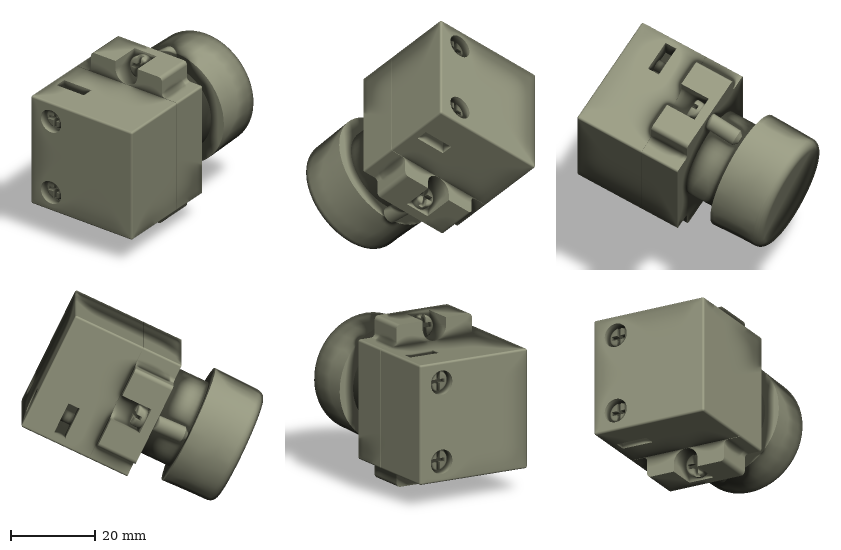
import cadquery as cq
import math

total_length = 50.5
body_width = 30.0
body_height = 29.5
box_length = 18.0
flange_length = 10.0
neck_length = 9.0
edge_radius = 0.5

flange_height = 40.0
ear_width = 21.0
ear_radius = 1.0

joint_width = 0.15
joint_depth = 0.1

neck_diameter = 22.0
cap_base_diameter = 29.5
cap_rim_diameter = 28.8
cap_rim_radius = 2.0

tilt = math.radians(10)
mount_offset = 16.2
mount_seat_depth = 3.0
mount_pocket_diameter = 6.5
mount_head_diameter = 5.5
mount_head_height = 2.4
mount_head_radius = 0.6
mount_slot_width = 1.15
mount_short_slot = 4.25
mount_slot_depth = 1.35
mount_short_slot_centre = (0, 0.2)
mount_shank_diameter = 4.0
mount_tip_chamfer = 1.0
mount_reach = 8.5

terminal_x = -9.0
terminal_offset = 9.75
terminal_hole_diameter = 6.0
terminal_hole_depth = 3.05
terminal_head_diameter = 5.2
terminal_head_height = 1.5
terminal_head_radius = 0.55
terminal_slot_width = 1.0
terminal_short_slot = 3.7
terminal_short_slot_centre = (-0.1, 0)
terminal_shank_diameter = 3.0

wire_entry_width = 8.05
wire_entry_length = 3.0
wire_entry_y = 9.2

joint_y = box_length
flange_back_y = box_length + flange_length
cap_base_y = flange_back_y + neck_length
cap_length = total_length - cap_base_y
wire_entry_depth = body_height / 2 - terminal_offset


def xz_plane(y):
    """Plane normal to the button axis, facing +Y, with local X along +Z and local Y along +X."""
    return cq.Plane(origin=(0, y, 0), xDir=(0, 0, 1), normal=(0, 1, 0))


def mirrored(shape):
    """The shape joined with its mirror image below Z = 0."""
    return shape.union(shape.mirror("XY"))


def make_box():
    """Contact box, rounded around its front face and along its length."""
    block = cq.Workplane(xz_plane(0)).rect(body_height, body_width).extrude(box_length)
    return block.edges("|Y").fillet(edge_radius).faces("<Y").edges().fillet(edge_radius)


def make_flange():
    """Mounting flange with an ear above and below the body."""
    plate = cq.Workplane(xz_plane(joint_y)).rect(body_height, body_width).extrude(flange_length)
    plate = plate.edges("|Y").fillet(edge_radius)
    ears = cq.Workplane(xz_plane(joint_y)).rect(flange_height, ear_width).extrude(flange_length)
    flange = plate.union(ears.edges("|Y").fillet(ear_radius))
    margin = 0.05
    half_width = ear_width / 2
    half_height = body_height / 2
    corners = cq.selectors.BoxSelector(
        (-half_width - margin, joint_y, -half_height - margin),
        (half_width + margin, flange_back_y, half_height + margin),
    )
    return flange.edges("|Y").edges(corners).fillet(ear_radius)


def make_joint():
    """Fine groove around the body where the box meets the flange."""
    plane = xz_plane(joint_y - joint_width)
    ring = cq.Workplane(plane).rect(body_height, body_width).extrude(joint_width)
    core = cq.Workplane(plane).rect(body_height - 2 * joint_depth, body_width - 2 * joint_depth)
    return ring.cut(core.extrude(joint_width))


def make_button():
    """Neck and slightly tapered push-button cap."""
    neck = cq.Workplane(xz_plane(flange_back_y)).circle(neck_diameter / 2).extrude(neck_length)
    taper = math.degrees(math.atan((cap_base_diameter - cap_rim_diameter) / 2 / cap_length))
    cap = cq.Workplane(xz_plane(cap_base_y)).circle(cap_base_diameter / 2)
    cap = cap.extrude(cap_length, taper=taper).faces(">Y").edges().fillet(cap_rim_radius)
    return neck.union(cap)


def make_head(plane, diameter, height, radius, slot_width, short_slot, slot_depth, short_centre):
    """Round screw head seated on the plane, with a full-length slot crossed by a shorter one."""
    head = cq.Workplane(plane).circle(diameter / 2).extrude(height)
    head = head.edges(cq.selectors.DirectionMinMaxSelector(plane.zDir, True)).fillet(radius)
    slots = cq.Workplane(plane).workplane(offset=height - slot_depth)
    long_cut = slots.rect(slot_width, diameter).extrude(slot_depth)
    short_cut = slots.center(*short_centre).rect(short_slot, slot_width).extrude(slot_depth)
    return head.cut(long_cut).cut(short_cut)


mount_plane = cq.Plane(
    origin=(0, flange_back_y, mount_offset),
    xDir=(1, 0, 0),
    normal=(0, -math.cos(tilt), math.sin(tilt)),
)
seat_plane = cq.Workplane(mount_plane).workplane(offset=mount_seat_depth).plane


def make_mount_pocket():
    """U-shaped pocket around the tilted axis, open to the outside of the ear."""
    length = flange_length + joint_width
    opening = flange_height / 2
    bore = cq.Workplane(seat_plane).circle(mount_pocket_diameter / 2).extrude(length)
    channel = cq.Workplane(seat_plane).center(0, opening / 2)
    return bore.union(channel.rect(mount_pocket_diameter, opening).extrude(length))


def make_mount_screw():
    """Screw that runs from its head seat out through the flange back to a chamfered tip."""
    head = make_head(
        seat_plane, mount_head_diameter, mount_head_height, mount_head_radius,
        mount_slot_width, mount_short_slot, mount_slot_depth, mount_short_slot_centre,
    )
    shank = cq.Workplane(seat_plane).circle(mount_shank_diameter / 2)
    shank = shank.extrude(-mount_reach - mount_seat_depth)
    tip = cq.selectors.DirectionMinMaxSelector(seat_plane.zDir, False)
    return head.union(shank.faces(tip).edges().chamfer(mount_tip_chamfer))


terminal_plane = cq.Plane(
    origin=(terminal_x, terminal_hole_depth, terminal_offset), xDir=(1, 0, 0), normal=(0, -1, 0)
)


def make_terminal_hole():
    """Round recess for the terminal screw head."""
    return cq.Workplane(terminal_plane).circle(terminal_hole_diameter / 2).extrude(terminal_hole_depth)


def make_wire_entry():
    """Rectangular opening from the top of the box down to the terminal screw axis."""
    entry = cq.Workplane("XY").workplane(offset=terminal_offset).center(terminal_x, wire_entry_y)
    return entry.rect(wire_entry_width, wire_entry_length).extrude(wire_entry_depth)


def make_terminal_screw():
    """Terminal screw whose shank crosses the wire entry."""
    head = make_head(
        terminal_plane, terminal_head_diameter, terminal_head_height, terminal_head_radius,
        terminal_slot_width, terminal_short_slot, terminal_head_height, terminal_short_slot_centre,
    )
    shank = cq.Workplane(terminal_plane).circle(terminal_shank_diameter / 2)
    return head.union(shank.extrude(terminal_hole_depth - wire_entry_y - wire_entry_length))


body = make_box().union(make_flange()).cut(make_joint())
body = body.cut(mirrored(make_mount_pocket()))
body = body.cut(mirrored(make_terminal_hole())).cut(mirrored(make_wire_entry()))
screws = mirrored(make_mount_screw()).union(mirrored(make_terminal_screw()))
result = body.union(make_button()).union(screws)